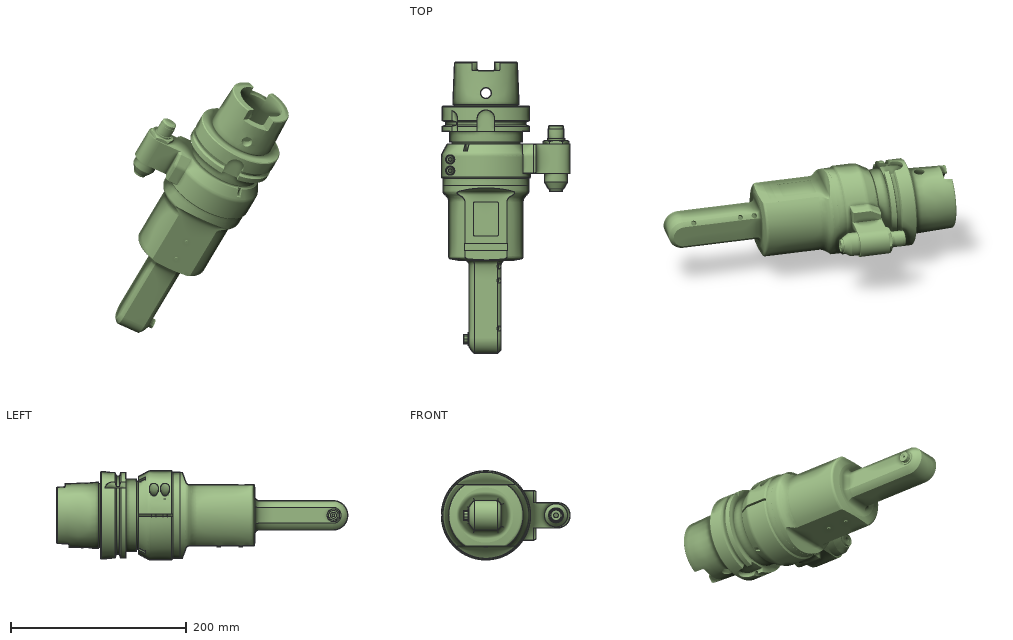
import cadquery as cq
import math


shank_end_y = 50.0
shank_root_radius = 37.9
shank_end_radius = 36.0
shank_end_chamfer = 1.0
shank_bore_radius = 26.5
shank_bore_bottom_y = 5.0
shank_hole_diameter = 12.0
shank_hole_y = 14.8
shank_neck_radius = 36.5
shank_neck_length = 2.0
drive_notch_inner_width = 20.0
drive_notch_outer_width = 32.0
drive_notch_bottom_ys = {1: 40.4, -1: 36.0}
drive_notch_round = 2.0
flange_radius = 50.0
flange_chamfer = 1.0
flange_end_y = -29.0
groove_floor_radius = 46.0
groove_start_y = -16.5
groove_end_y = -23.3
groove_flank = 1.7
keyway_radius = 10.0
keyway_center_y = -14.6
keyway_floor_z = 44.0
notch_wall_x = -32.3
notch_floor_z = 31.3

neck_radius = 41.6
neck_end_y = -41.0
undercut_radius = 39.0
ring_top_y = -43.2
ring_bottom_y = -82.8
seat_radius = 37.0

shoulder_radius = 49.3
shoulder_band_y = -90.6
shoulder_step = 0.1
shoulder_slope_y = -96.6
shoulder_round = 5.5
waist_radius = 42.5
waist_round = 8.6
nose_round_start_y = -171.8
nose_round_end_y = -174.7
nose_round_end_radius = 40.0
nose_face_radius = 31.5
nose_face_y = -176.2
flat_z = 35.0
flat_round = 4.0
flat_slope_deg = 70.0
flat_slope_foot_y = -98.7
label_width = 28.6
label_start_y = -109.4
label_end_y = -148.6
label_corner = 2.0
band_start_y = -156.8
band_end_y = -164.9
mark_depth = 0.2
pad_diameter = 4.0
pad_height = 1.1
pad_ys = (-135.2, -160.3)

bar_radius = 21.4
bar_left_x = -19.4
bar_right_x = 17.4
bar_half_height = 16.85
bar_end_y = -282.5
bar_root_round = 5.0
selection_margin = 0.5
bar_hole_diameter = 6.0
bar_hole_depth = 4.0
bar_hole_ys = (-182.9, -199.2, -254.0)
tip_axis_y = bar_end_y + bar_half_height
head_y = tip_axis_y - 0.4
collar_diameter = 14.4
collar_height = 0.9
head_diameter = 11.4
head_sides = 10
head_end_x = -25.4
head_recess_diameter = 7.0
head_recess_depth = 0.5
head_socket_diameter = 3.0
head_socket_depth = 3.0

ring_radius = 51.0
ring_cone_deg = 28.5
ring_cone_depth = 6.8
ring_round = 8.0
ring_bottom_chamfer = 1.7
slit_width = 3.0
spanner_slot_width = 5.0
spanner_slot_end_y = -51.5
spanner_slot_floor = 42.0
spanner_slot_angle = 29.0
plate_end_x = 57.3
plate_start_x = 42.0
plate_half_height = 28.5
plate_bevel_length = 2.9
plate_bevel_deg = 22.5
plate_bottom_chamfer = 0.5
arm_bottom_y = -77.2
arm_half_height = 14.5
arm_end_x = 96.23

screw_x = -40.8
screw_ys = (-61.0, -73.8)
screw_diameter = 5.0
screw_clearance = 5.5
screw_head_diameter = 8.5
screw_head_height = 5.0
screw_head_top_z = 23.4
screw_end_z = -15.0
screw_counterbore = 10.4
screw_hex = 4.0
screw_hex_depth = 2.5

sensor_x = 80.0
sensor_radius = 9.0
sensor_top_y = -22.0
sensor_top_step_y = -26.3
sensor_top_step_radius = 8.5
sensor_top_radius = 6.5
sensor_top_chamfer = 1.0
sensor_collar_y = -37.3
sensor_collar_radius = 10.0
nut_top_y = -39.2
nut_corner_diameter = 30.0
nut_chamfer_radius = 13.0
nut_chamfer_height = 1.5
cap_radius = 13.2
cap_cone_start_y = -87.0
cap_cone_end_y = -94.8
cap_cone_end_radius = 8.5
cap_tip_radius = 7.3
cap_tip_y = -97.5
cap_recess_diameter = 12.0
cap_recess_depth = 0.5
cap_hole_diameter = 5.5
cap_hole_depth = 4.0


def corner_arc(before, corner, after, radius):
    """Start, middle and end of an arc that rounds `corner` tangent to both of its sides."""
    in_x, in_y = before[0] - corner[0], before[1] - corner[1]
    out_x, out_y = after[0] - corner[0], after[1] - corner[1]
    in_length = math.hypot(in_x, in_y)
    out_length = math.hypot(out_x, out_y)
    in_x, in_y = in_x / in_length, in_y / in_length
    out_x, out_y = out_x / out_length, out_y / out_length
    half_angle = math.acos(in_x * out_x + in_y * out_y) / 2
    tangent = radius / math.tan(half_angle)
    middle = radius / math.sin(half_angle) - radius
    split_length = math.hypot(in_x + out_x, in_y + out_y)
    return (
        (corner[0] + tangent * in_x, corner[1] + tangent * in_y),
        (
            corner[0] + middle * (in_x + out_x) / split_length,
            corner[1] + middle * (in_y + out_y) / split_length,
        ),
        (corner[0] + tangent * out_x, corner[1] + tangent * out_y),
    )


def box(x_range, y_range, z_range):
    sizes = [end - start for start, end in (x_range, y_range, z_range)]
    return cq.Workplane("XY").box(*sizes, centered=False).translate((x_range[0], y_range[0], z_range[0]))


def cylinder(start, direction, diameter, length):
    return cq.Workplane(cq.Solid.makeCylinder(diameter / 2, length, cq.Vector(*start), cq.Vector(*direction)))


def spin(profile):
    """Revolve a closed (radius, Y) profile about the tool axis."""
    return profile.close().revolve(360, (0, 0, 0), (0, 1, 0))


def holder_blank():
    cone_top_y = shoulder_slope_y - shoulder_round * math.tan(math.pi / 8)
    cone_top = (shoulder_radius - shoulder_step, cone_top_y)
    cone_foot = (waist_radius, cone_top_y - (cone_top[0] - waist_radius))
    top_arc = corner_arc((cone_top[0], shoulder_band_y), cone_top, cone_foot, shoulder_round)
    foot_arc = corner_arc(cone_top, cone_foot, (waist_radius, nose_round_start_y), waist_round)
    nose_middle = (
        nose_round_end_radius + (waist_radius - nose_round_end_radius) * math.sin(math.pi / 4),
        nose_round_start_y - (nose_round_start_y - nose_round_end_y) * math.sin(math.pi / 4),
    )
    profile = (
        cq.Workplane("XY")
        .moveTo(0, shank_end_y)
        .lineTo(shank_end_radius - shank_end_chamfer, shank_end_y)
        .lineTo(shank_end_radius, shank_end_y - shank_end_chamfer)
        .lineTo(shank_root_radius, shank_neck_length)
        .lineTo(shank_neck_radius, shank_neck_length)
        .lineTo(shank_neck_radius, 0)
        .lineTo(flange_radius - flange_chamfer, 0)
        .lineTo(flange_radius, -flange_chamfer)
        .lineTo(flange_radius, groove_start_y)
        .lineTo(groove_floor_radius, groove_start_y - groove_flank)
        .lineTo(groove_floor_radius, groove_end_y + groove_flank)
        .lineTo(flange_radius, groove_end_y)
        .lineTo(flange_radius, flange_end_y)
        .lineTo(neck_radius, flange_end_y)
        .lineTo(neck_radius, neck_end_y)
        .lineTo(undercut_radius, neck_end_y)
        .lineTo(undercut_radius, ring_top_y)
        .lineTo(seat_radius, ring_top_y)
        .lineTo(seat_radius, ring_bottom_y)
        .lineTo(shoulder_radius, ring_bottom_y)
        .lineTo(shoulder_radius, shoulder_band_y)
        .lineTo(shoulder_radius - shoulder_step, shoulder_band_y)
        .lineTo(*top_arc[0])
        .threePointArc(*top_arc[1:])
        .lineTo(*foot_arc[0])
        .threePointArc(*foot_arc[1:])
        .lineTo(waist_radius, nose_round_start_y)
        .threePointArc(nose_middle, (nose_round_end_radius, nose_round_end_y))
        .lineTo(nose_face_radius, nose_face_y)
        .lineTo(0, nose_face_y)
    )
    return spin(profile)


def shank_cuts():
    bore_depth = shank_end_y - shank_bore_bottom_y
    bore = cylinder((0, shank_bore_bottom_y, 0), (0, 1, 0), 2 * shank_bore_radius, bore_depth)
    cross_start = (0, shank_hole_y, -flange_radius)
    cross_hole = cylinder(cross_start, (0, 0, 1), shank_hole_diameter, 2 * flange_radius)
    cuts = bore.union(cross_hole)
    notch_outer_z = math.sqrt(shank_end_radius**2 - (drive_notch_outer_width / 2) ** 2)
    notch_inner_z = notch_outer_z - (drive_notch_outer_width - drive_notch_inner_width) / 2
    for side in (1, -1):
        notch = (
            cq.Workplane("XZ", origin=(0, shank_end_y, 0))
            .moveTo(-drive_notch_inner_width / 2, 0)
            .lineTo(-drive_notch_inner_width / 2, side * notch_inner_z)
            .lineTo(-drive_notch_outer_width / 2, side * notch_outer_z)
            .lineTo(-drive_notch_outer_width / 2, side * flange_radius)
            .lineTo(drive_notch_outer_width / 2, side * flange_radius)
            .lineTo(drive_notch_outer_width / 2, side * notch_outer_z)
            .lineTo(drive_notch_inner_width / 2, side * notch_inner_z)
            .lineTo(drive_notch_inner_width / 2, 0)
            .close()
            .extrude(shank_end_y - drive_notch_bottom_ys[side])
        )
        notch = notch.edges("<Y and |Z").fillet(drive_notch_round)
        cuts = cuts.union(notch)
    return cuts


def keyway(center_x, floor_z, direction):
    """Round-ended slot open at the lower flange side, cut from floor_z outwards along Z."""
    end = cylinder((center_x, keyway_center_y, floor_z), (0, 0, direction), 2 * keyway_radius, flange_radius)
    z_range = sorted((floor_z, floor_z + direction * flange_radius))
    slot = box(
        (center_x - keyway_radius, center_x + keyway_radius),
        (flange_end_y, keyway_center_y),
        z_range,
    )
    return end.union(slot)


def flat_cut(side):
    """Wrench flat on the +Z or -Z side with a rounded, sloped run-out into the shoulder."""
    slope = math.radians(flat_slope_deg)
    rise = flange_radius - flat_z + flat_round
    foot = (flat_slope_foot_y, flat_z)
    slope_top = (foot[0] + rise / math.tan(slope), flat_z + rise)
    end_y = nose_face_y - flat_round
    arc = corner_arc(slope_top, foot, (end_y, flat_z), flat_round)
    outline = (
        cq.Workplane("YZ", origin=(-flange_radius, 0, 0))
        .moveTo(*slope_top)
        .lineTo(*arc[0])
        .threePointArc(*arc[1:])
        .lineTo(end_y, flat_z)
        .lineTo(end_y, slope_top[1])
        .close()
        .extrude(2 * flange_radius)
    )
    return outline if side > 0 else outline.mirror("XY")


def flat_markings():
    """Shallow label field and marking band on the +Z flat."""
    label = box(
        (-label_width / 2, label_width / 2),
        (label_end_y, label_start_y),
        (flat_z - mark_depth, flat_z),
    )
    label = label.edges("|Z").fillet(label_corner)
    band = box(
        (-flange_radius, flange_radius),
        (band_end_y, band_start_y),
        (flat_z - mark_depth, flat_z),
    )
    return label.union(band)


def bar():
    """Round bar flattened on four sides, with a tip spun about a cross axis along X."""
    half_flat = math.sqrt(bar_radius**2 - bar_half_height**2)
    left_z = math.sqrt(bar_radius**2 - bar_left_x**2)
    right_z = math.sqrt(bar_radius**2 - bar_right_x**2)
    mid = bar_radius * math.sin(math.pi / 4)
    shaft = (
        cq.Workplane("XZ", origin=(0, nose_face_y, 0))
        .circle(bar_radius)
        .extrude(nose_face_y - tip_axis_y)
        .intersect(
            box(
                (bar_left_x, bar_right_x),
                (tip_axis_y, nose_face_y),
                (-bar_half_height, bar_half_height),
            )
        )
    )
    tip = (
        cq.Workplane("XY", origin=(0, tip_axis_y, 0))
        .moveTo(bar_left_x, 0)
        .lineTo(bar_left_x, -left_z)
        .threePointArc((-mid, -mid), (-half_flat, -bar_half_height))
        .lineTo(half_flat, -bar_half_height)
        .threePointArc((mid, -mid), (bar_right_x, -right_z))
        .lineTo(bar_right_x, 0)
        .close()
        .revolve(360, (0, 0, 0), (1, 0, 0))
    )
    return shaft.union(tip)


def bar_head():
    """Collar and faceted head on the -X face of the bar tip."""
    overlap = 1.0
    start_x = bar_left_x + overlap
    collar = cylinder((start_x, head_y, 0), (-1, 0, 0), collar_diameter, overlap + collar_height)
    head = (
        cq.Workplane("YZ", origin=(start_x, head_y, 0))
        .transformed(rotate=(0, 0, 90))
        .polygon(head_sides, head_diameter)
        .extrude(head_end_x - start_x)
    )
    socket = cylinder((head_end_x, head_y, 0), (1, 0, 0), head_socket_diameter, head_socket_depth)
    recess = cylinder((head_end_x, head_y, 0), (1, 0, 0), head_recess_diameter, head_recess_depth)
    return collar.union(head).cut(recess).cut(socket)


def make_holder():
    body = holder_blank().cut(shank_cuts())
    body = body.cut(keyway(0, keyway_floor_z, 1)).cut(keyway(0, -keyway_floor_z, -1))
    body = body.cut(keyway(notch_wall_x - keyway_radius, notch_floor_z, 1))
    body = body.cut(flat_cut(1)).cut(flat_cut(-1)).cut(flat_markings())
    for y in pad_ys:
        pad = cylinder((0, y, -flat_z + pad_height), (0, 0, -1), pad_diameter, 2 * pad_height)
        body = body.union(pad)
    body = body.union(bar())
    root_half_size = bar_radius + selection_margin
    root = cq.selectors.BoxSelector(
        (-root_half_size, nose_face_y - selection_margin, -root_half_size),
        (root_half_size, nose_face_y + selection_margin, root_half_size),
        boundingbox=True,
    )
    body = body.edges(root).fillet(bar_root_round)
    radial = math.sin(math.pi / 4)
    for y in bar_hole_ys:
        bottom = (radial * (bar_radius - bar_hole_depth), y, radial * (bar_radius - bar_hole_depth))
        body = body.cut(cylinder(bottom, (1, 0, 1), bar_hole_diameter, 2 * bar_hole_depth))
    return body.union(bar_head())


def rim_outline(plane, rim, inner, bottom_y, bottom_chamfer):
    """Open outline from inner to rim and back: a rounded cone at the top, a chamfer at the bottom."""
    cone_top = (rim - ring_cone_depth, ring_top_y)
    corner = (rim, ring_top_y - ring_cone_depth / math.tan(math.radians(ring_cone_deg)))
    arc = corner_arc(cone_top, corner, (rim, bottom_y), ring_round)
    return (
        plane.moveTo(inner, ring_top_y)
        .lineTo(*cone_top)
        .lineTo(*arc[0])
        .threePointArc(*arc[1:])
        .lineTo(rim, bottom_y + bottom_chamfer)
        .lineTo(rim - bottom_chamfer, bottom_y)
        .lineTo(inner, bottom_y)
    )


def plate_outline(x):
    """Outline of the upper half of the bracket plate in the plane at x, facing -X."""
    plane = cq.Workplane(cq.Plane((x, 0, 0), (0, 0, 1), (-1, 0, 0)))
    return rim_outline(plane, plate_half_height, 0, arm_bottom_y, plate_bottom_chamfer).close()


def bracket():
    """Plate with the ring's rim shape, standing off the ring on +X, and the round-ended arm on it."""
    bevel_start_x = plate_end_x - plate_bevel_length
    half_plate = plate_outline(plate_start_x).extrude(plate_start_x - bevel_start_x)
    bevel = plate_outline(bevel_start_x).extrude(-plate_bevel_length, taper=plate_bevel_deg)
    half_plate = half_plate.union(bevel)
    plate = half_plate.union(half_plate.mirror("XY"))
    arm_center_x = arm_end_x - arm_half_height
    arm_height = ring_top_y - arm_bottom_y
    arm = box((plate_start_x, arm_center_x), (arm_bottom_y, ring_top_y), (-arm_half_height, arm_half_height))
    arm_end = cylinder((arm_center_x, arm_bottom_y, 0), (0, 1, 0), 2 * arm_half_height, arm_height)
    sensor_hole = cylinder((sensor_x, arm_bottom_y, 0), (0, 1, 0), 2 * sensor_radius, arm_height)
    return plate.union(arm).union(arm_end).cut(sensor_hole)


def spanner_slot(angle):
    """Slot across the ring's cone, turned about the tool axis from +Z towards -X."""
    slot = box(
        (-spanner_slot_width / 2, spanner_slot_width / 2),
        (spanner_slot_end_y, ring_top_y),
        (spanner_slot_floor, flange_radius),
    )
    return slot.rotate((0, 0, 0), (0, 1, 0), -angle)


def make_ring():
    profile = rim_outline(cq.Workplane("XY"), ring_radius, seat_radius, ring_bottom_y, ring_bottom_chamfer)
    ring = spin(profile).union(bracket())
    slit = box(
        (-ring_radius, -seat_radius / 2),
        (ring_bottom_y, ring_top_y),
        (-slit_width / 2, slit_width / 2),
    )
    ring = ring.cut(slit)
    head_seat_z = screw_head_top_z - screw_head_height
    for y in screw_ys:
        counterbore = cylinder((screw_x, y, head_seat_z), (0, 0, 1), screw_counterbore, ring_radius)
        clearance = cylinder((screw_x, y, 0), (0, 0, 1), screw_clearance, head_seat_z)
        thread = cylinder((screw_x, y, screw_end_z), (0, 0, 1), screw_diameter, -screw_end_z)
        ring = ring.cut(counterbore).cut(clearance).cut(thread)
    for angle in (spanner_slot_angle, 180 - spanner_slot_angle):
        ring = ring.cut(spanner_slot(angle))
    return ring


def make_screw(y):
    """Socket head cap screw along Z."""
    head_seat_z = screw_head_top_z - screw_head_height
    shank = cylinder((screw_x, y, screw_end_z), (0, 0, 1), screw_diameter, head_seat_z - screw_end_z)
    head = cylinder((screw_x, y, head_seat_z), (0, 0, 1), screw_head_diameter, screw_head_height)
    socket = (
        cq.Workplane("XY", origin=(screw_x, y, screw_head_top_z))
        .polygon(6, screw_hex, circumscribed=True)
        .extrude(-screw_hex_depth)
    )
    return shank.union(head).cut(socket)


def make_sensor():
    profile = (
        cq.Workplane("XY")
        .moveTo(0, sensor_top_y)
        .lineTo(sensor_top_radius, sensor_top_y)
        .lineTo(sensor_top_step_radius, sensor_top_y - sensor_top_chamfer)
        .lineTo(sensor_top_step_radius, sensor_top_step_y)
        .lineTo(sensor_radius, sensor_top_step_y)
        .lineTo(sensor_radius, sensor_collar_y)
        .lineTo(sensor_collar_radius, sensor_collar_y)
        .lineTo(sensor_collar_radius, nut_top_y)
        .lineTo(sensor_radius, nut_top_y)
        .lineTo(sensor_radius, arm_bottom_y)
        .lineTo(cap_radius, arm_bottom_y)
        .lineTo(cap_radius, cap_cone_start_y)
        .lineTo(cap_cone_end_radius, cap_cone_end_y)
        .lineTo(cap_tip_radius, cap_cone_end_y)
        .lineTo(cap_tip_radius, cap_tip_y)
        .lineTo(0, cap_tip_y)
    )
    hole = cylinder((0, cap_tip_y, 0), (0, 1, 0), cap_hole_diameter, cap_hole_depth)
    recess = cylinder((0, cap_tip_y, 0), (0, 1, 0), cap_recess_diameter, cap_recess_depth)
    nut_height = nut_top_y - ring_top_y
    nut = cq.Workplane("XZ", origin=(0, nut_top_y, 0)).polygon(6, nut_corner_diameter).extrude(nut_height)
    nut_blank = spin(
        cq.Workplane("XY")
        .moveTo(0, nut_top_y)
        .lineTo(nut_chamfer_radius, nut_top_y)
        .lineTo(nut_corner_diameter / 2, nut_top_y - nut_chamfer_height)
        .lineTo(nut_corner_diameter / 2, ring_top_y)
        .lineTo(0, ring_top_y)
    )
    sensor_body = spin(profile).union(nut.intersect(nut_blank)).cut(recess).cut(hole)
    return sensor_body.translate((sensor_x, 0, 0))


holder = make_holder()
ring = make_ring()
screws = [make_screw(y) for y in screw_ys]
sensor = make_sensor()
result = cq.Compound.makeCompound([
    holder.val(),
    ring.val(),
    *[screw.val() for screw in screws],
    sensor.val(),
])